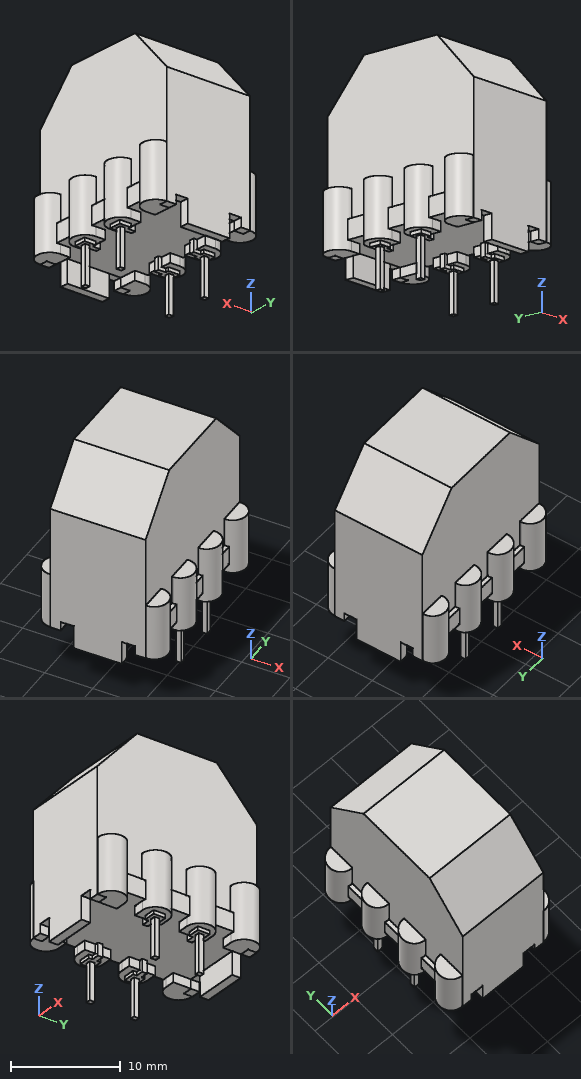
import cadquery as cq

overall_width = 13.0

height = 23.0
body_width = 9.91
body_length = 18.0
shoulder_z = 18.0
roof_length = 9.0
wall_thickness = 1.0

foot_width = 5.0
foot_bottom_z = 3.0
leg_inner_x = 3.86
leg_bottom_z = 4.5

plate_width = 10.85
plate_bottom_z = 5.5
plate_top_z = 7.5

posts_per_side = 4
post_pitch = 5.0
post_radius = 1.47
post_top_z = 10.5
post_bottom_z = leg_bottom_z
post_inner_x = leg_inner_x

pin_x = 5.0
pin_size = 0.55
pad_size = 1.33
pad_thickness = 0.4

half_width = body_width / 2
half_length = body_length / 2
foot_half_width = foot_width / 2
post_x = overall_width / 2 - post_radius
post_ys = [(i - (posts_per_side - 1) / 2) * post_pitch for i in range(posts_per_side)]
pin_ys = post_ys[1:-1]
sides = (-1, 1)
ends = (-1, 1)


def box_between(x_range, y_range, z_range):
    """Axis-aligned box given by its lower and upper limits on each axis."""
    (x0, x1), (y0, y1), (z0, z1) = x_range, y_range, z_range
    return cq.Workplane("XY").box(x1 - x0, y1 - y0, z1 - z0, centered=False).translate((x0, y0, z0))


def mirrored_to_side(shape, side):
    """Shape made for the +X side, placed on the given side."""
    return shape if side > 0 else shape.mirror("YZ")


def make_cap():
    """Solid block above the base plate, sloped down from the roof to both ends."""
    return (
        cq.Workplane("YZ")
        .polyline([
            (-half_length, plate_top_z),
            (half_length, plate_top_z),
            (half_length, shoulder_z),
            (roof_length / 2, height),
            (-roof_length / 2, height),
            (-half_length, shoulder_z),
        ])
        .close()
        .extrude(half_width, both=True)
    )


def make_end_wall(end):
    """Lower end wall at the -Y or +Y end, with its foot, notches and corner legs."""
    right_edge = [
        (foot_half_width, foot_bottom_z),
        (foot_half_width, plate_bottom_z),
        (leg_inner_x, plate_bottom_z),
        (leg_inner_x, leg_bottom_z),
        (half_width, leg_bottom_z),
        (half_width, plate_top_z),
    ]
    left_edge = [(-x, z) for x, z in reversed(right_edge)]
    wall_middle_y = end * (half_length - wall_thickness / 2)
    return (
        cq.Workplane("XZ", origin=(0, wall_middle_y, 0))
        .polyline(right_edge + left_edge)
        .close()
        .extrude(wall_thickness / 2, both=True)
    )


def make_housing():
    """Cap with both of its end walls."""
    housing = make_cap()
    for end in ends:
        housing = housing.union(make_end_wall(end))
    return housing


def make_post(y):
    """Post on the +X side: half-round outside, flat-sided inward to the post's inner face."""
    return (
        cq.Workplane("XY", origin=(0, y, post_bottom_z))
        .moveTo(post_inner_x, -post_radius)
        .lineTo(post_x, -post_radius)
        .threePointArc((post_x + post_radius, 0), (post_x, post_radius))
        .lineTo(post_inner_x, post_radius)
        .close()
        .extrude(post_top_z - post_bottom_z)
    )


def make_base(housing):
    """Plate with four posts on each side, cut back where the housing sits against it."""
    plate_half_length = half_length - wall_thickness
    base = box_between(
        (-plate_width / 2, plate_width / 2),
        (-plate_half_length, plate_half_length),
        (plate_bottom_z, plate_top_z),
    )
    for side in sides:
        for y in post_ys:
            base = base.union(mirrored_to_side(make_post(y), side))
    return base.cut(housing)


def make_pin(side, y):
    """Square pin below a pad, with a strap that wraps the post's inner edge up to the base plate."""
    pad_bottom_z = post_bottom_z - pad_thickness
    strap_inner_x = post_inner_x - pad_thickness
    pin_y_range = (y - pin_size / 2, y + pin_size / 2)

    leg = box_between((pin_x - pin_size / 2, pin_x + pin_size / 2), pin_y_range, (0, pad_bottom_z))
    pad = box_between(
        (pin_x - pad_size / 2, pin_x + pad_size / 2),
        (y - pad_size / 2, y + pad_size / 2),
        (pad_bottom_z, post_bottom_z),
    )
    strap_foot = box_between((strap_inner_x, pin_x), pin_y_range, (pad_bottom_z, post_bottom_z))
    strap_riser = box_between((strap_inner_x, post_inner_x), pin_y_range, (pad_bottom_z, plate_bottom_z))
    pin = leg.union(pad).union(strap_foot).union(strap_riser)
    return mirrored_to_side(pin, side)


housing = make_housing()
base = make_base(housing)
pins = [make_pin(side, y) for side in sides for y in pin_ys]

result = cq.Compound.makeCompound([
    housing.solids().val(),
    base.solids().val(),
    *[pin.solids().val() for pin in pins],
])